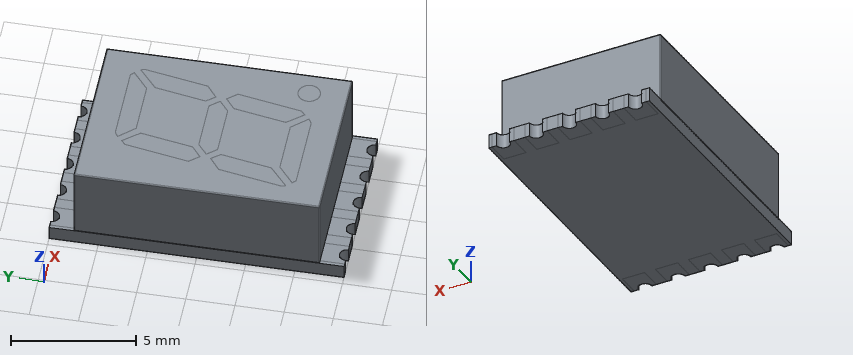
import cadquery as cq
import math

BOARD_WIDTH = 7.3
BOARD_LENGTH = 12.0
BOARD_THICKNESS = 0.62

TOTAL_HEIGHT = 3.78
HOUSING_WIDTH = 7.22
HOUSING_LENGTH = 10.0
HOUSING_HEIGHT = TOTAL_HEIGHT - BOARD_THICKNESS
HOUSING_EDGE_RADIUS = 0.05

PADS_PER_END = 5
PAD_PITCH = 1.5
PAD_WIDTH = 1.01
PAD_LENGTH = (BOARD_LENGTH - HOUSING_LENGTH) / 2
NOTCH_RADIUS = 0.3

INLAY_DEPTH = 0.12
SLANT = math.tan(math.radians(10))
DOT_DIAMETER = 0.9
DOT_CENTER = (2.6, -3.42)

DIGIT_TOP = 3.8
TOP_BAR_BOTTOM = 3.02
MIDDLE_BAR_HALF_HEIGHT = 0.4
SIDE_BAR_OUTER = 2.15
SIDE_BAR_INNER = 1.32
SIDE_BAR_SHOULDER = 3.3
SIDE_BAR_FOOT = 0.64

TOP_BAR = [
    (-1.82, 3.67),
    (-1.65, DIGIT_TOP),
    (1.65, DIGIT_TOP),
    (1.82, 3.67),
    (1.15, TOP_BAR_BOTTOM),
    (-1.13, TOP_BAR_BOTTOM),
]
MIDDLE_BAR = [
    (-1.51, 0),
    (-1.1, MIDDLE_BAR_HALF_HEIGHT),
    (1.1, MIDDLE_BAR_HALF_HEIGHT),
    (1.51, 0),
    (1.1, -MIDDLE_BAR_HALF_HEIGHT),
    (-1.1, -MIDDLE_BAR_HALF_HEIGHT),
]
UPPER_LEFT_BAR = [
    (-1.99, 3.47),
    (-SIDE_BAR_OUTER, SIDE_BAR_SHOULDER),
    (-SIDE_BAR_OUTER, SIDE_BAR_FOOT),
    (-1.74, 0.23),
    (-SIDE_BAR_INNER, 0.61),
    (-SIDE_BAR_INNER, 2.8),
]
UPPER_RIGHT_BAR = [
    (2.06, 3.45),
    (SIDE_BAR_OUTER, SIDE_BAR_SHOULDER),
    (SIDE_BAR_OUTER, SIDE_BAR_FOOT),
    (1.68, 0.22),
    (SIDE_BAR_INNER, 0.58),
    (SIDE_BAR_INNER, 2.7),
]


def turned(outline):
    """Turn an outline half a turn about the digit centre."""
    return [(-x, -y) for x, y in outline]


def slanted(outline):
    """Lean an outline to the right, as the whole digit leans."""
    return [(x + SLANT * y, y) for x, y in outline]


def make_body():
    """Board with the round-edged housing on it."""
    board = (
        cq.Workplane("XY")
        .box(BOARD_WIDTH, BOARD_LENGTH, BOARD_THICKNESS, centered=(True, True, False))
    )
    housing = (
        cq.Workplane("XY", origin=(0, 0, BOARD_THICKNESS))
        .box(HOUSING_WIDTH, HOUSING_LENGTH, HOUSING_HEIGHT, centered=(True, True, False))
        .edges("|Z or >Z")
        .fillet(HOUSING_EDGE_RADIUS)
    )
    return board.union(housing)


def pad_centers():
    """Middle of each pad's outer end, on both short ends of the board."""
    first_x = -PAD_PITCH * (PADS_PER_END - 1) / 2
    for end in (-1, 1):
        for index in range(PADS_PER_END):
            yield first_x + index * PAD_PITCH, end * BOARD_LENGTH / 2, end


def make_notch(x, y):
    """Round cutter for the half-round notch in a pad's outer end."""
    return cq.Workplane("XY").center(x, y).circle(NOTCH_RADIUS).extrude(BOARD_THICKNESS)


def make_pad(x, y, end):
    """Full-thickness pad, flush with the board, reaching from its end to the housing."""
    return (
        cq.Workplane("XY")
        .center(x, y - end * PAD_LENGTH / 2)
        .rect(PAD_WIDTH, PAD_LENGTH)
        .extrude(BOARD_THICKNESS)
    )


def top_inlays():
    """Seven segments and the decimal point, flush with the housing top."""
    plane = cq.Workplane("XY", origin=(0, 0, TOTAL_HEIGHT - INLAY_DEPTH))
    half = [TOP_BAR, UPPER_LEFT_BAR, UPPER_RIGHT_BAR]
    bars = half + [turned(bar) for bar in half] + [MIDDLE_BAR]
    for bar in bars:
        yield plane.polyline(slanted(bar)).close().extrude(INLAY_DEPTH)
    yield plane.center(*DOT_CENTER).circle(DOT_DIAMETER / 2).extrude(INLAY_DEPTH)


result = make_body()
for x, y, end in pad_centers():
    result = result.union(make_pad(x, y, end), clean=False)
    result = result.cut(make_notch(x, y), clean=False)
for inlay in top_inlays():
    result = result.union(inlay, clean=False)